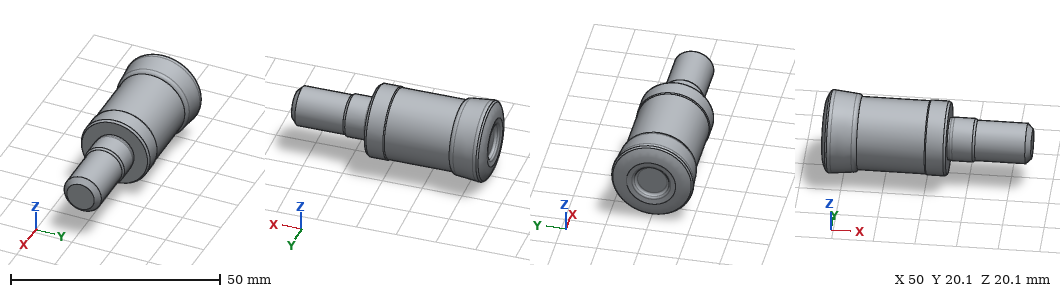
import cadquery as cq
import math

total_length = 50.0

dome_crest_radius = 6.0
rim_x = 1.1
rim_radius = 9.6
crest_x = 1.55
crest_radius = 9.95
crest_peak_x = 2.0
crest_peak_radius = 10.025
taper_start_x = 2.45
taper_start_radius = 9.95
taper_end_x = 7.45
taper_end_radius = 9.45
skirt_corner_x = 8.25
skirt_corner_radius = 9.25
cap_end_x = 8.65

lip_x = 0.25
lip_radius = 4.75
recess_radius = 4.25
recess_floor_x = 1.4
floor_fillet = 0.65

barrel_radius = 17.6 / 2
barrel_end_x = 24.95
collar_start_x = 25.25
collar_radius = 18.0 / 2
collar_end_x = 30.05
collar_chamfer_length = 0.6
collar_chamfer_depth = 0.4

neck_radius = 5.1
neck_end_x = 30.5
shoulder_start_x = 31.2
shoulder_radius = 10.5 / 2
shoulder_end_x = 36.05
shank_start_x = 36.65
shank_radius = 9.75 / 2
tip_chamfer = 1.3


def revolve_about_x(profile):
    """Turn an (x, radius) profile into a solid of revolution about X."""
    return profile.close().revolve(360, (0, 0, 0), (1, 0, 0))


def dome_midpoint():
    """Point halfway along the dome arc, which leaves its crest square to the axis."""
    rise = rim_radius - dome_crest_radius
    arc_radius = (rise**2 + rim_x**2) / (2 * rim_x)
    half_angle = math.asin(rise / arc_radius) / 2
    return (
        arc_radius * (1 - math.cos(half_angle)),
        dome_crest_radius + arc_radius * math.sin(half_angle),
    )


def make_cap():
    """Domed, tapered cap with a blind recess in its front and a flat back."""
    lip_rounding = lip_radius - recess_radius
    profile = (
        cq.Workplane("XY")
        .moveTo(cap_end_x, 0)
        .lineTo(recess_floor_x, 0)
        .lineTo(recess_floor_x, recess_radius - floor_fillet)
        .radiusArc((recess_floor_x - floor_fillet, recess_radius), -floor_fillet)
        .radiusArc((lip_x, lip_radius), lip_rounding)
        .lineTo(0, dome_crest_radius)
        .threePointArc(dome_midpoint(), (rim_x, rim_radius))
        .lineTo(crest_x, crest_radius)
        .threePointArc((crest_peak_x, crest_peak_radius), (taper_start_x, taper_start_radius))
        .lineTo(taper_end_x, taper_end_radius)
        .threePointArc((skirt_corner_x, skirt_corner_radius), (cap_end_x, barrel_radius))
    )
    return revolve_about_x(profile)


def make_housing():
    """Barrel, collar and stepped stud turned as one piece."""
    profile = (
        cq.Workplane("XY")
        .moveTo(cap_end_x, 0)
        .lineTo(cap_end_x, barrel_radius)
        .lineTo(barrel_end_x, barrel_radius)
        .lineTo(collar_start_x, collar_radius)
        .lineTo(collar_end_x - collar_chamfer_length, collar_radius)
        .lineTo(collar_end_x, collar_radius - collar_chamfer_depth)
        .lineTo(collar_end_x, neck_radius)
        .lineTo(neck_end_x, neck_radius)
        .lineTo(shoulder_start_x, shoulder_radius)
        .lineTo(shoulder_end_x, shoulder_radius)
        .lineTo(shank_start_x, shank_radius)
        .lineTo(total_length - tip_chamfer, shank_radius)
        .lineTo(total_length, shank_radius - tip_chamfer)
        .lineTo(total_length, 0)
    )
    return revolve_about_x(profile)


cap = make_cap()
housing = make_housing()
result = cq.Compound.makeCompound([cap.val(), housing.val()])